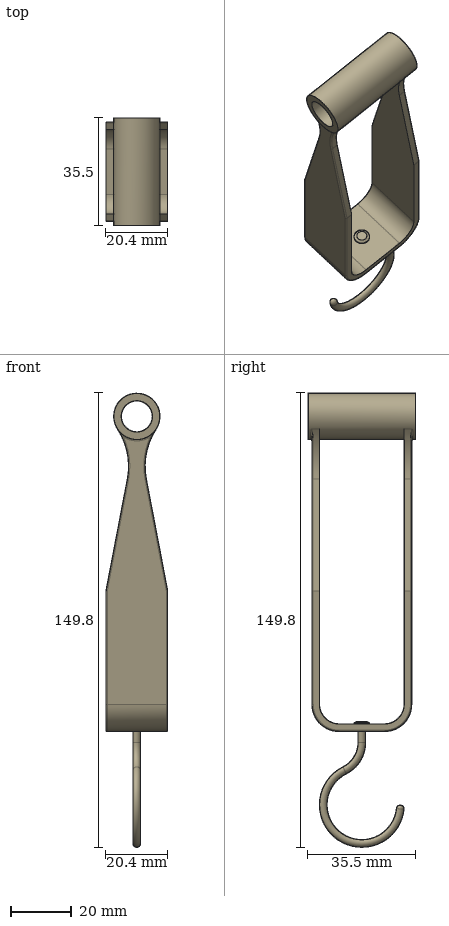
import cadquery as cq
import math

tube_length = 35.5
tube_diameter = 15.3
bore_diameter = 10.2
overall_height = 149.8
tube_radius = tube_diameter / 2
tube_z = overall_height - tube_radius

strap_width = 20.4
strap_depth = 33.0
strap_thickness = 2.5
strap_bottom_z = 38.2
bend_outer_radius = 9.0
edge_round = 0.5
shoulder_z = 84.6
neck_z = 121.5
neck_half_width = 3.1

wire_diameter = 2.5
hook_radius = 12.7
stem_end_z = 34.6
tip_angle = 6.0
rivet_diameter = 5.1
rivet_height = 0.7
rivet_bevel_height = 0.5
rivet_top_diameter = 3.3
wire_radius = wire_diameter / 2
hook_z = hook_radius + wire_radius
floor_z = strap_bottom_z + strap_thickness


def strap_outline():
    """Outline in XZ: straight sides, taper, then an arc tangent to taper and tube."""
    half_width = strap_width / 2
    taper_run = half_width - neck_half_width
    taper_rise = neck_z - shoulder_z
    taper_length = math.hypot(taper_run, taper_rise)
    normal_x = taper_rise / taper_length
    normal_z = taper_run / taper_length
    drop = neck_z - tube_z
    neck_radius = (neck_half_width**2 + drop**2 - tube_radius**2) / (
        2 * (tube_radius - neck_half_width * normal_x - drop * normal_z)
    )
    center_x = neck_half_width + neck_radius * normal_x
    center_z = neck_z + neck_radius * normal_z
    reach = tube_radius / (tube_radius + neck_radius)
    contact_x = center_x * reach
    contact_z = tube_z + (center_z - tube_z) * reach
    start_angle = math.atan2(neck_z - center_z, neck_half_width - center_x) % math.tau
    end_angle = math.atan2(contact_z - center_z, contact_x - center_x) % math.tau
    middle = (start_angle + end_angle) / 2
    middle_x = center_x + neck_radius * math.cos(middle)
    middle_z = center_z + neck_radius * math.sin(middle)
    return (
        cq.Workplane("XZ")
        .moveTo(-half_width, strap_bottom_z)
        .lineTo(half_width, strap_bottom_z)
        .lineTo(half_width, shoulder_z)
        .lineTo(neck_half_width, neck_z)
        .threePointArc((middle_x, middle_z), (contact_x, contact_z))
        .lineTo(-contact_x, contact_z)
        .threePointArc((-middle_x, middle_z), (-neck_half_width, neck_z))
        .lineTo(-half_width, shoulder_z)
        .close()
        .extrude(strap_depth / 2, both=True)
    )


def bent_slab(inset):
    """Full-width U block, inset from the strap's outer surface."""
    depth = strap_depth - 2 * inset
    bottom = strap_bottom_z + inset
    return (
        cq.Workplane("XY", origin=(0, 0, bottom))
        .rect(strap_width, depth)
        .extrude(overall_height - bottom)
        .edges("|X and <Z")
        .fillet(bend_outer_radius - inset)
    )


def make_strap():
    outer = strap_outline().intersect(bent_slab(0))
    return outer.cut(bent_slab(strap_thickness))


def arm_face_edges(frame, side):
    """Edges around one arm's outer flat face, except the straight line where the bend begins."""
    face_y = side * strap_depth / 2
    margin = edge_round / 10
    selector = cq.selectors.BoxSelector(
        (-strap_width, face_y - margin, strap_bottom_z),
        (strap_width, face_y + margin, overall_height),
        boundingbox=True,
    )
    return frame.edges(selector).edges("not(|X)").vals()


def round_outer_edges(frame):
    """Round the strap's outer rim, following the bends, and fillet the arm-to-tube joints."""
    edges = arm_face_edges(frame, -1) + arm_face_edges(frame, 1)
    return frame.newObject(edges).fillet(edge_round)


def make_hook():
    stem_drop = stem_end_z - hook_z
    bend_radius = (stem_drop**2 - hook_radius**2) / (2 * hook_radius)
    join_angle = math.atan2(stem_drop, bend_radius)
    join = (-hook_radius * math.cos(join_angle), hook_z + hook_radius * math.sin(join_angle))
    half_turn = join_angle / 2
    bend_middle = (
        -bend_radius * (1 - math.cos(half_turn)),
        stem_end_z - bend_radius * math.sin(half_turn),
    )
    tip = math.radians(tip_angle)
    tip_y = hook_radius * math.cos(tip)
    tip_z = hook_z - hook_radius * math.sin(tip)
    path = (
        cq.Workplane("YZ")
        .moveTo(0, floor_z)
        .lineTo(0, stem_end_z)
        .threePointArc(bend_middle, join)
        .threePointArc((0, hook_z - hook_radius), (tip_y, tip_z))
    )
    wire = cq.Workplane("XY", origin=(0, 0, floor_z)).circle(wire_radius).sweep(path)
    round_tip = cq.Workplane("XY", origin=(0, tip_y, tip_z)).sphere(wire_radius)
    rivet_profile = [
        (0, floor_z),
        (rivet_diameter / 2, floor_z),
        (rivet_diameter / 2, floor_z + rivet_height - rivet_bevel_height),
        (rivet_top_diameter / 2, floor_z + rivet_height),
        (0, floor_z + rivet_height),
    ]
    rivet = cq.Workplane("XZ").polyline(rivet_profile).close().revolve(360, (0, 0), (0, 1))
    return wire.union(round_tip).union(rivet)


def y_cylinder(radius):
    """Cylinder on the tube axis, as long as the tube."""
    plane = cq.Workplane("XZ", origin=(0, tube_length / 2, tube_z))
    return plane.circle(radius).extrude(tube_length)


frame = round_outer_edges(make_strap().union(y_cylinder(tube_radius)))
result = frame.cut(y_cylinder(bore_diameter / 2)).union(make_hook())